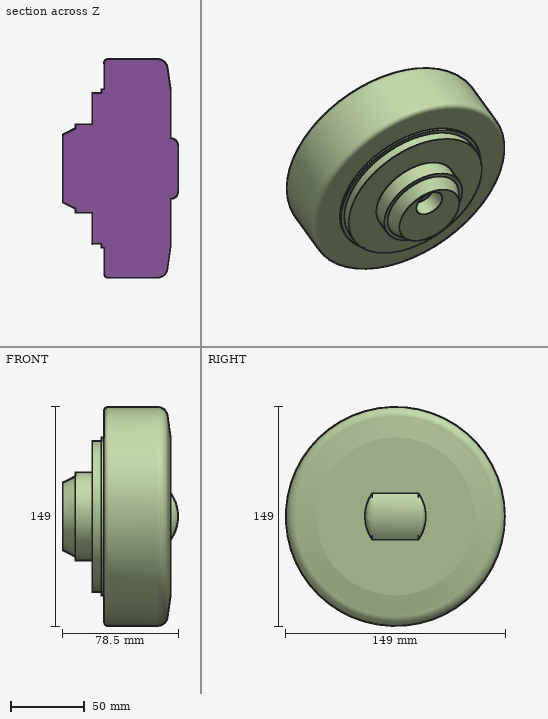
import cadquery as cq
import math

cone_end = 8.6
hub_end = 20.0
flange_end = 26.2
wheel_back = 28.0
front_cone_start = 71.5
wheel_face = 73.5
grip_height = 5.0

tip_radius = 23.1
cone_radius = 27.4
hub_radius = 30.1
flange_radius = 51.4
collar_radius = 54.0
wheel_radius = 74.5
front_cone_radius = 67.2
face_radius = 53.6
back_fillet = 3.0
rim_round_length = 7.5

grip_half_width = 15.8
grip_half_length = 15.6

bore_offset = 12.2
bore_diameter = 20.0
bore_depth = 11.9
pilot_diameter = 6.0
pilot_depth = 14.9
drill_diameter = 5.0
drill_depth = 20.0
drill_point_angle = 118


def turned_body():
    """Hub, flange, collar and wheel as one revolved half section."""
    round_start = front_cone_start - rim_round_length
    diagonal = math.sqrt(0.5)
    round_middle = (
        round_start + rim_round_length * diagonal,
        front_cone_radius + (wheel_radius - front_cone_radius) * diagonal,
    )
    section = (
        cq.Workplane("XY")
        .moveTo(0, 0)
        .lineTo(0, tip_radius)
        .lineTo(cone_end, cone_radius)
        .lineTo(cone_end, hub_radius)
        .lineTo(hub_end, hub_radius)
        .lineTo(hub_end, flange_radius)
        .lineTo(flange_end, flange_radius)
        .lineTo(flange_end, collar_radius)
        .lineTo(wheel_back, collar_radius)
        .lineTo(wheel_back, wheel_radius - back_fillet)
        .radiusArc((wheel_back + back_fillet, wheel_radius), back_fillet)
        .lineTo(round_start, wheel_radius)
        .threePointArc(round_middle, (front_cone_start, front_cone_radius))
    )
    return (
        section.lineTo(wheel_face, face_radius)
        .lineTo(wheel_face, 0)
        .close()
        .revolve(360, (0, 0, 0), (1, 0, 0))
    )


def grip_section(y_position):
    """Circular segment standing on the wheel face, in the XZ plane."""
    return (
        cq.Workplane("XZ", origin=(wheel_face, y_position, 0))
        .moveTo(0, -grip_half_width)
        .threePointArc((grip_height, 0), (0, grip_half_width))
        .close()
    )


def grip():
    """Arched bar along Y whose ends are the same segment turned about its chord."""
    bar = grip_section(grip_half_length).extrude(2 * grip_half_length)
    for side in (-1, 1):
        end = grip_section(side * grip_half_length).revolve(360, (0, 0, 0), (0, 1, 0))
        bar = bar.union(end)
    return bar


def bore():
    """Stepped blind bore ending in a drill point."""
    pilot_end = bore_depth + pilot_depth
    drill_end = bore_depth + drill_depth
    drill_radius = drill_diameter / 2
    point_length = drill_radius / math.tan(math.radians(drill_point_angle / 2))
    return (
        cq.Workplane("XY")
        .moveTo(0, 0)
        .lineTo(0, bore_diameter / 2)
        .lineTo(bore_depth, bore_diameter / 2)
        .lineTo(bore_depth, pilot_diameter / 2)
        .lineTo(pilot_end, pilot_diameter / 2)
        .lineTo(pilot_end, drill_radius)
        .lineTo(drill_end, drill_radius)
        .lineTo(drill_end + point_length, 0)
        .close()
        .revolve(360, (0, 0, 0), (1, 0, 0))
        .translate((0, 0, bore_offset))
    )


result = turned_body().union(grip()).cut(bore())